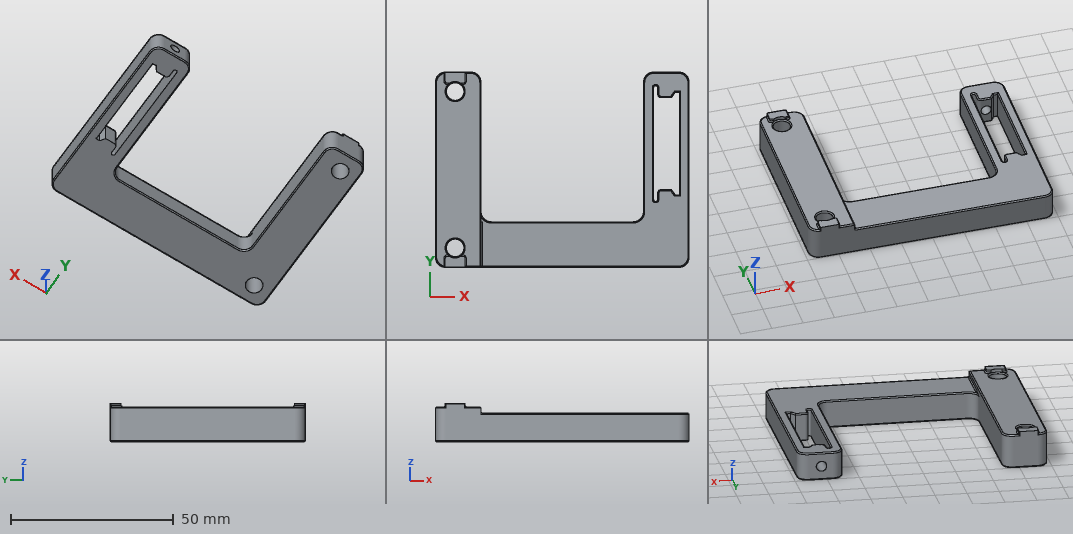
import cadquery as cq

length = 77.9
depth = 60.0
base_height = 8.8
arm_height = 10.75
arm_width = 14.0
slot_arm_width = 14.0
beam_width = 14.0
corner_radius = 3.2
edge_chamfer = 0.4

hole_diameter = 5.4
hole_x = 6.1
hole_inset = 6.0
tab_height = 11.8
tab_width = 6.1
tab_length = 3.4
tab_inner_radius = 0.6
tab_outer_chamfer = 0.2

slot_middle = 38.0
groove_left = 67.0
groove_width = 1.25
groove_length = 35.5
window_right = 74.9
window_length = 31.5
nub_gap = 28.2
nub_right = 72.45
nub_slope_width = 1.2
nub_corner_radius = 1.1

screw_diameter = 3.2
screw_x = 70.75


def block(x_min, x_max, y_min, y_max, z_min, z_max):
    size = (x_max - x_min, y_max - y_min, z_max - z_min)
    return cq.Workplane("XY").box(*size, centered=False).translate((x_min, y_min, z_min))


def both_ends(solid):
    """Pair a solid at the front end of the raised arm with its mirror image at the back end."""
    return solid.union(solid.mirror("XZ").translate((0, depth, 0)))


def make_arm():
    arm = block(0, arm_width, 0, depth, 0, arm_height)
    arm = arm.edges("|Z and (not (>X and <Y))").fillet(corner_radius)
    return arm.faces("<Z or >Z").chamfer(edge_chamfer)


def make_base():
    """Beam and slot arm, with a stub that lies inside the raised arm."""
    stub_left = arm_width / 2
    stub_back = depth / 2
    opening_right = length - slot_arm_width
    base = (
        cq.Workplane("XY")
        .moveTo(stub_left, 0)
        .lineTo(length, 0)
        .lineTo(length, depth)
        .lineTo(opening_right, depth)
        .lineTo(opening_right, beam_width)
        .lineTo(arm_width, beam_width)
        .lineTo(arm_width, stub_back)
        .lineTo(stub_left, stub_back)
        .close()
        .extrude(base_height)
    )
    base = base.edges("|Z").fillet(corner_radius)
    bottom_chamfered = base.faces("<Z").chamfer(edge_chamfer)
    return bottom_chamfered.cut(make_slot()).faces(">Z").chamfer(edge_chamfer)


def make_slot():
    groove_right = groove_left + groove_width
    groove_end = groove_length / 2
    groove_radius = groove_width / 2
    window_end = window_length / 2
    nub_end = nub_gap / 2
    half_outline = (
        cq.Workplane("XY", origin=(0, slot_middle, 0))
        .moveTo(groove_left, 0)
        .lineTo(groove_left, groove_end - groove_radius)
        .threePointArc((groove_left + groove_radius, groove_end), (groove_right, groove_end - groove_radius))
        .lineTo(groove_right, nub_end + nub_corner_radius)
        .radiusArc((groove_right + nub_corner_radius, nub_end), -nub_corner_radius)
        .lineTo(nub_right, nub_end)
        .lineTo(nub_right + nub_slope_width, window_end)
        .lineTo(window_right, window_end)
        .lineTo(window_right, 0)
    )
    return half_outline.mirrorX().extrude(base_height)


def make_step_foot():
    """Sloped strip along the foot of the step from the raised arm down to the beam."""
    return (
        cq.Workplane("XZ", origin=(arm_width, edge_chamfer, base_height))
        .lineTo(edge_chamfer, 0)
        .lineTo(0, edge_chamfer)
        .close()
        .extrude(edge_chamfer - beam_width)
    )


def make_tab():
    """Front tab, with a sloped foot around its sides and inner end."""
    left = hole_x - tab_width / 2
    right = hole_x + tab_width / 2
    tab = block(left, right, 0, tab_length, arm_height / 2, tab_height)
    tab = tab.edges("|Z and >Y").fillet(tab_inner_radius)
    tab = tab.edges("|Z and <Y").chamfer(tab_outer_chamfer)

    foot_length = tab_length + edge_chamfer
    foot_top = arm_height + edge_chamfer
    foot_left = left - edge_chamfer
    foot_right = right + edge_chamfer
    upright = block(foot_left, foot_right, -edge_chamfer, foot_length, arm_height, foot_top)
    upright = upright.edges("|Z and >Y").fillet(tab_inner_radius + edge_chamfer)
    foot = upright.faces("<Z").wires().toPending().extrude(edge_chamfer, combine=False, taper=45)
    foot = foot.intersect(block(foot_left, foot_right, edge_chamfer, foot_length, arm_height, foot_top))
    return tab.union(foot)


def make_guide_hole():
    """Front hole with a chamfered mouth, which also scoops the end of the tab."""
    hole_radius = hole_diameter / 2
    mouth_radius = hole_radius + edge_chamfer
    return (
        cq.Workplane("XZ", origin=(hole_x, hole_inset, 0))
        .lineTo(hole_radius, 0)
        .lineTo(hole_radius, arm_height - edge_chamfer)
        .lineTo(mouth_radius, arm_height)
        .lineTo(mouth_radius, tab_height)
        .lineTo(0, tab_height)
        .close()
        .revolve(360, (0, 0), (0, 1))
    )


def make_screw_hole():
    start = cq.Workplane("XZ", origin=(screw_x, slot_middle, base_height / 2))
    return start.circle(screw_diameter / 2).extrude(slot_middle - depth)


frame = make_base().union(make_arm()).union(make_step_foot())
with_tabs = frame.union(both_ends(make_tab()))
result = with_tabs.cut(both_ends(make_guide_hole())).cut(make_screw_hole())